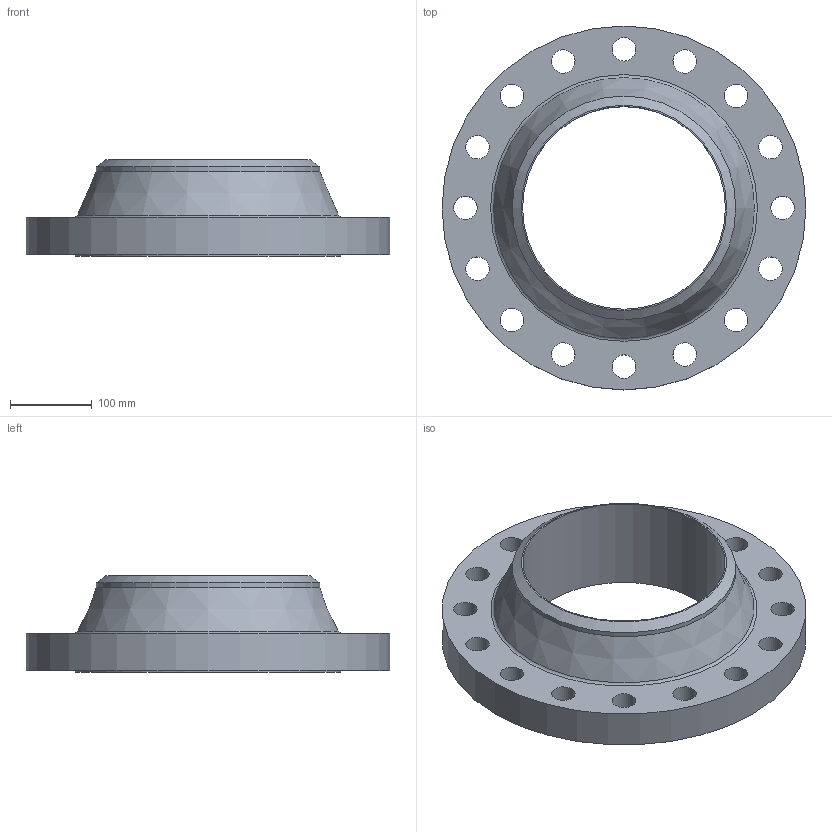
import cadquery as cq
import math

flange_diameter = 444.5
flange_top_z = 47.7
raised_face_diameter = 323.8
raised_face_height = 1.6

overall_height = 117.41
hub_base_diameter = 320.5
hub_fillet_radius = 4.0
pipe_diameter = 273.05
wall_thickness = 12.7
bore_diameter = pipe_diameter - 2 * wall_thickness
taper_top_z = 103.0
root_face_width = 1.6
bevel_angle = 37.5

bolt_hole_count = 16
bolt_circle_diameter = 387.4
bolt_hole_diameter = 28.6


def round_hub_base(body):
    """Fillet the circular edge where the hub taper meets the flange."""
    half_width = hub_base_diameter / 2 + hub_fillet_radius
    base_edge = cq.selectors.BoxSelector(
        (-half_width, -half_width, flange_top_z - hub_fillet_radius),
        (half_width, half_width, flange_top_z + hub_fillet_radius),
        boundingbox=True,
    )
    return body.edges(base_edge).fillet(hub_fillet_radius)


def make_body():
    """Revolve the flange, tapered hub and bevelled weld end around Z."""
    bore_radius = bore_diameter / 2
    pipe_radius = pipe_diameter / 2
    bevel_width = wall_thickness - root_face_width
    bevel_height = bevel_width * math.tan(math.radians(bevel_angle))
    profile = [
        (bore_radius, 0),
        (raised_face_diameter / 2, 0),
        (raised_face_diameter / 2, raised_face_height),
        (flange_diameter / 2, raised_face_height),
        (flange_diameter / 2, flange_top_z),
        (hub_base_diameter / 2, flange_top_z),
        (pipe_radius, taper_top_z),
        (pipe_radius, overall_height - bevel_height),
        (bore_radius + root_face_width, overall_height),
        (bore_radius, overall_height),
    ]
    body = cq.Workplane("XZ").polyline(profile).close().revolve(360, (0, 0, 0), (0, 1, 0))
    return round_hub_base(body)


def make_bolt_holes():
    """Cylinders evenly spaced on the bolt circle, the first one on +X."""
    return (
        cq.Workplane("XY")
        .polarArray(bolt_circle_diameter / 2, 0, 360, bolt_hole_count)
        .circle(bolt_hole_diameter / 2)
        .extrude(flange_top_z)
    )


result = make_body().cut(make_bolt_holes())